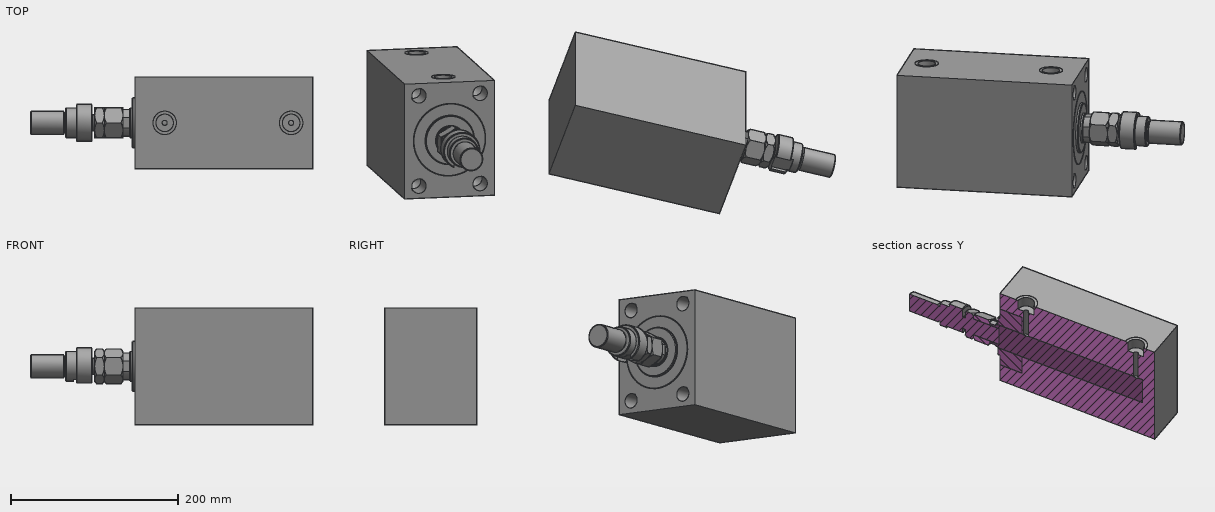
import cadquery as cq
import math


OVERALL_LENGTH = 337.5
HOUSING_WIDTH = 110.0
HOUSING_HEIGHT = 140.0
FRONT_REACH = 124.5
HOUSING_LENGTH = OVERALL_LENGTH - FRONT_REACH

MOUNT_HOLE_RADIUS = 8.8
MOUNT_HOLE_DEPTH = 30.5
MOUNT_SPACING_Y = 75.0
MOUNT_SPACING_Z = 110.0
DRILL_POINT_ANGLE = 118.0

PORT_POSITIONS = (35.8, 187.0)
PORT_RADIUS = 10.5
PORT_DEPTH = 14.0
SPOTFACE_DIAMETER = 28.0
SPOTFACE_DEPTH = 0.5
PASSAGE_RADIUS = 3.0

GLAND_RADIUS = 44.2
GLAND_DEPTH = 30.0
GLAND_COLLAR_RADIUS = 30.0
GLAND_COLLAR_HEIGHT = 3.0
GLAND_COLLAR_CHAMFER = 1.0
GLAND_RIM_CHAMFER = 0.7

ROD_RADIUS = 18.0
ROD_CHAMFER = 1.0
ROD_INNER_END = 195.8
ROD_FRONT = -14.2
FLATS_END = -6.0
FLATS_ACROSS = 32.0
FLATS_CORNER_RADIUS = 17.2

HEX_SIDES = 6
HEX_ACROSS = 36.0
HEX_CHAMFER_ANGLE = 40.0
NUT_FRONT = -36.5

STUD_RADIUS = 12.0
STUD_END = -1.7

TIP = -FRONT_REACH
SPIGOT_DIAMETER = 28.0
SPIGOT_RADIUS = SPIGOT_DIAMETER / 2
SPIGOT_END = -84.0
SPIGOT_TIP_CHAMFER = 1.0
SPIGOT_CHAMFER = 1.5
GROOVE_RADIUS = 12.0
SHOULDER_START = -82.7
SHOULDER_RADIUS = 18.0
COLLAR_START = -70.0
COLLAR_RADIUS = 22.3
COLLAR_END = -51.0
EDGE_CHAMFER = 1.0
NECK_RADIUS = 9.8
NECK_FLARE = 1.0
COUPLING_HEX_FRONT = -48.0

SLOT_START = -73.2
SLOT_WIDTH = 19.0
SLOT_FLOOR = 16.0


def turned(profile):
    """Solid of revolution about X from (x, radius) points, closed along the axis."""
    last_x, last_radius = profile[-1]
    outline = [(profile[0][0], 0), *profile]
    if last_radius > 0:
        outline.append((last_x, 0))
    return cq.Workplane("XZ").polyline(outline).close().revolve(360, (0, 0), (1, 0))


def rod_cylinder(start, end, radius):
    return turned([(start, radius), (end, radius)])


def chamfered_hexagon(start, end):
    """Hexagonal prism with corners on +-Z, its ends turned down to the inscribed circle."""
    inner = HEX_ACROSS / 2
    outer = inner / math.cos(math.pi / HEX_SIDES)
    slope = (outer - inner) * math.tan(math.radians(HEX_CHAMFER_ANGLE))
    prism = (
        cq.Workplane("YZ", origin=(start, 0, 0))
        .polygon(HEX_SIDES, 2 * outer)
        .extrude(end - start)
        .rotate((0, 0, 0), (1, 0, 0), 90)
    )
    envelope = turned([(start, inner), (start + slope, outer), (end - slope, outer), (end, inner)])
    return prism.intersect(envelope)


def make_gland():
    collar_front = -GLAND_COLLAR_HEIGHT
    blank = turned([
        (collar_front, GLAND_COLLAR_RADIUS - GLAND_COLLAR_CHAMFER),
        (collar_front + GLAND_COLLAR_CHAMFER, GLAND_COLLAR_RADIUS),
        (0, GLAND_COLLAR_RADIUS),
        (0, GLAND_RADIUS - GLAND_RIM_CHAMFER),
        (GLAND_RIM_CHAMFER, GLAND_RADIUS),
        (GLAND_DEPTH, GLAND_RADIUS),
    ])
    return blank.cut(rod_cylinder(collar_front, GLAND_DEPTH, ROD_RADIUS))


def mounting_hole(y, z):
    point_length = MOUNT_HOLE_RADIUS / math.tan(math.radians(DRILL_POINT_ANGLE / 2))
    hole = turned([
        (0, MOUNT_HOLE_RADIUS),
        (MOUNT_HOLE_DEPTH, MOUNT_HOLE_RADIUS),
        (MOUNT_HOLE_DEPTH + point_length, 0),
    ])
    return hole.translate((0, y, z))


def port(x):
    top = cq.Workplane("XY", origin=(x, 0, HOUSING_HEIGHT / 2))
    spotface = top.circle(SPOTFACE_DIAMETER / 2).extrude(-SPOTFACE_DEPTH)
    bore = top.circle(PORT_RADIUS).extrude(-PORT_DEPTH)
    passage = top.circle(PASSAGE_RADIUS).extrude(-HOUSING_HEIGHT / 2)
    return spotface.union(bore).union(passage)


def make_housing():
    block = cq.Workplane("XY").box(
        HOUSING_LENGTH, HOUSING_WIDTH, HOUSING_HEIGHT, centered=(False, True, True)
    )
    block = block.cut(rod_cylinder(0, GLAND_DEPTH, GLAND_RADIUS))
    block = block.cut(rod_cylinder(0, ROD_INNER_END, ROD_RADIUS))
    for y in (-MOUNT_SPACING_Y / 2, MOUNT_SPACING_Y / 2):
        for z in (-MOUNT_SPACING_Z / 2, MOUNT_SPACING_Z / 2):
            block = block.cut(mounting_hole(y, z))
    for x in PORT_POSITIONS:
        block = block.cut(port(x))
    return block


def make_rod():
    shaft = turned([
        (FLATS_END, ROD_RADIUS - ROD_CHAMFER),
        (FLATS_END + ROD_CHAMFER, ROD_RADIUS),
        (ROD_INNER_END, ROD_RADIUS),
    ])
    wrench_end = rod_cylinder(ROD_FRONT, FLATS_END, FLATS_CORNER_RADIUS).intersect(
        cq.Workplane("YZ", origin=(ROD_FRONT, 0, 0))
        .rect(FLATS_ACROSS, FLATS_ACROSS)
        .extrude(FLATS_END - ROD_FRONT)
    )
    return shaft.union(wrench_end).cut(rod_cylinder(ROD_FRONT, STUD_END, STUD_RADIUS))


def make_lock_nut():
    return chamfered_hexagon(NUT_FRONT, ROD_FRONT).cut(rod_cylinder(NUT_FRONT, ROD_FRONT, STUD_RADIUS))


def make_coupling():
    body = turned([
        (TIP, SPIGOT_RADIUS - SPIGOT_TIP_CHAMFER),
        (TIP + SPIGOT_TIP_CHAMFER, SPIGOT_RADIUS),
        (SPIGOT_END - SPIGOT_CHAMFER, SPIGOT_RADIUS),
        (SPIGOT_END, GROOVE_RADIUS),
        (SHOULDER_START, GROOVE_RADIUS),
        (SHOULDER_START, SHOULDER_RADIUS - EDGE_CHAMFER),
        (SHOULDER_START + EDGE_CHAMFER, SHOULDER_RADIUS),
        (COLLAR_START, SHOULDER_RADIUS),
        (COLLAR_START, COLLAR_RADIUS - EDGE_CHAMFER),
        (COLLAR_START + EDGE_CHAMFER, COLLAR_RADIUS),
        (COLLAR_END - EDGE_CHAMFER, COLLAR_RADIUS),
        (COLLAR_END, COLLAR_RADIUS - EDGE_CHAMFER),
        (COLLAR_END, NECK_RADIUS - NECK_FLARE),
        (COLLAR_END + NECK_FLARE, NECK_RADIUS),
        (COUPLING_HEX_FRONT, NECK_RADIUS),
    ])
    slot_depth = COLLAR_RADIUS - SLOT_FLOOR
    slot = cq.Workplane("XY").box(
        COLLAR_END - SLOT_START, SLOT_WIDTH, slot_depth, centered=(False, True, False)
    ).translate((SLOT_START, 0, -COLLAR_RADIUS))
    hexagon = chamfered_hexagon(COUPLING_HEX_FRONT, NUT_FRONT)
    stud = rod_cylinder(NUT_FRONT, STUD_END, STUD_RADIUS)
    return body.cut(slot).union(hexagon).union(stud)


housing = make_housing()
gland = make_gland()
rod = make_rod()
lock_nut = make_lock_nut()
coupling = make_coupling()

result = cq.Compound.makeCompound([
    housing.val(),
    gland.val(),
    rod.val(),
    lock_nut.val(),
    coupling.val(),
])